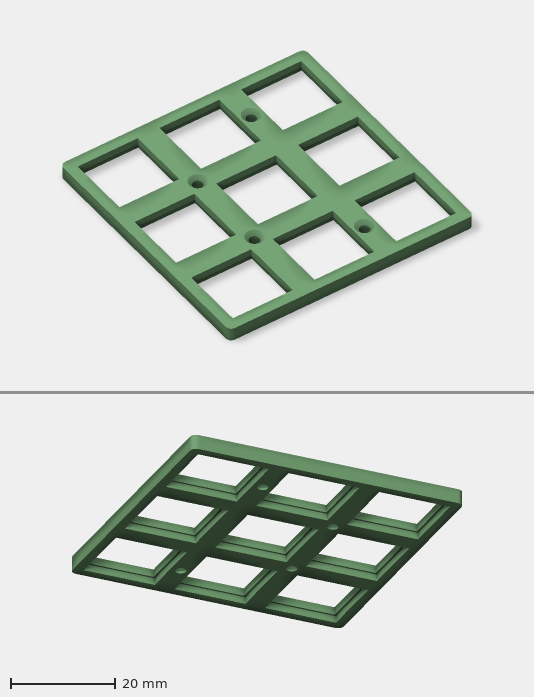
import cadquery as cq

plate_side = 57.1
plate_thickness = 3.0
corner_radius = 1.25

windows_per_side = 3
window_pitch = 19.05
window_side = 14.0

lip_thickness = 1.6
lip_overhang = 0.45
recess_side = window_side + 2 * lip_overhang
recess_depth = plate_thickness - lip_thickness

hole_diameter = 2.2
sink_diameter = 4.0
sink_angle = 90.0
bar_offset = window_pitch / 2
hole_centers = [
    (-window_pitch, bar_offset),
    (window_pitch, bar_offset),
    (-bar_offset, -bar_offset),
    (bar_offset, -bar_offset),
]


def make_plate():
    """Flat plate on Z = 0 with rounded vertical corners."""
    plate = cq.Workplane("XY").box(
        plate_side, plate_side, plate_thickness, centered=(True, True, False)
    )
    return plate.edges("|Z").fillet(corner_radius)


def square_grid(side, height):
    """Grid of square blocks standing on Z = 0, one at each window."""
    return (
        cq.Workplane("XY")
        .rarray(window_pitch, window_pitch, windows_per_side, windows_per_side)
        .rect(side, side)
        .extrude(height)
    )


def cut_windows(plate):
    """Cut the windows through and widen them from the underside."""
    windows = square_grid(window_side, plate_thickness)
    recesses = square_grid(recess_side, recess_depth)
    return plate.cut(windows).cut(recesses)


def cut_screw_holes(plate):
    """Drill the through holes and countersink them from the top."""
    return (
        plate.faces(">Z")
        .workplane(origin=(0, 0, 0))
        .pushPoints(hole_centers)
        .cskHole(hole_diameter, sink_diameter, sink_angle)
    )


result = cut_screw_holes(cut_windows(make_plate()))